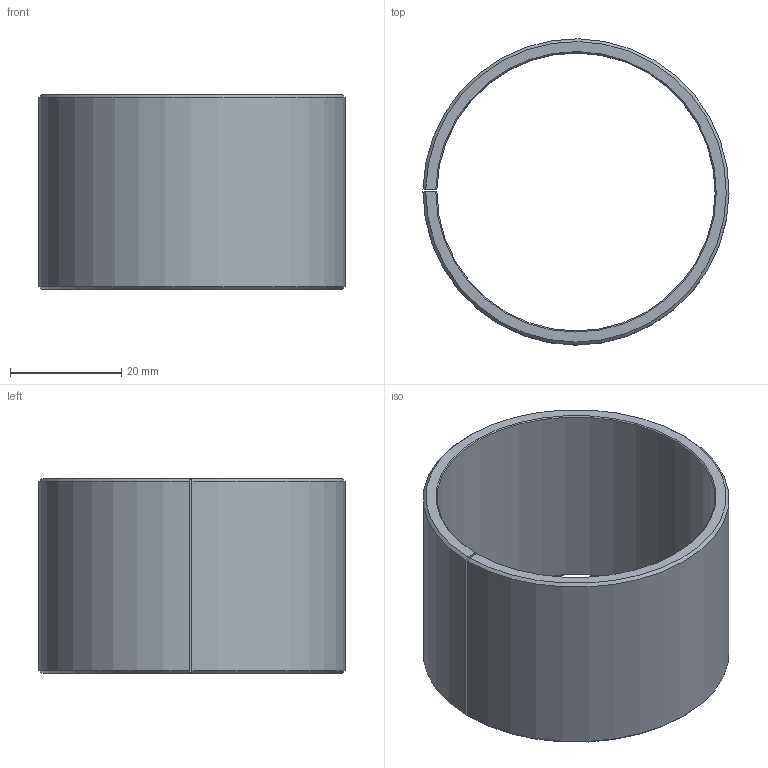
import cadquery as cq

outer_diameter = 55.0
inner_diameter = 50.0
length = 35.0
outer_chamfer = 0.5
inner_chamfer = 0.2
gap_angle = 1.0

outer_radius = outer_diameter / 2
inner_radius = inner_diameter / 2
full_turn = 360.0


def wall_section():
    """Wall section on the -X side, with both rims chamfered inside and out."""
    return (
        cq.Workplane("XZ")
        .moveTo(-inner_radius - inner_chamfer, 0)
        .lineTo(-outer_radius + outer_chamfer, 0)
        .lineTo(-outer_radius, outer_chamfer)
        .lineTo(-outer_radius, length - outer_chamfer)
        .lineTo(-outer_radius + outer_chamfer, length)
        .lineTo(-inner_radius - inner_chamfer, length)
        .lineTo(-inner_radius, length - inner_chamfer)
        .lineTo(-inner_radius, inner_chamfer)
        .close()
    )


def make_bushing():
    """Revolve the wall counterclockwise about Z, stopping short by the gap angle."""
    return wall_section().revolve(full_turn - gap_angle, (0, 0, 0), (0, 1, 0))


result = make_bushing()